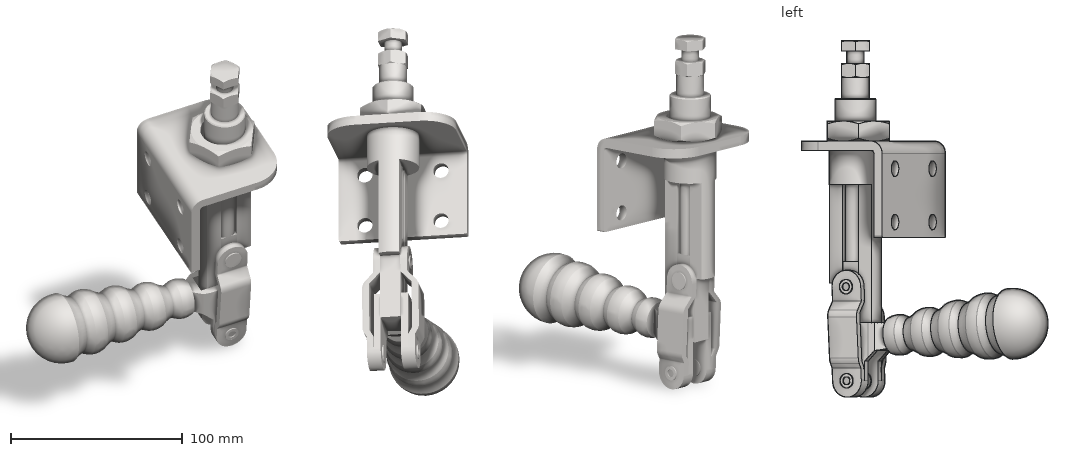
import cadquery as cq
import math

TURN_ANGLE = -29.1

MOUNT_OFFSET = -1.8
PLATE_THICKNESS = 5.5
BRACKET_WIDTH = 75.9
BRACKET_FRONT = MOUNT_OFFSET - 37.1
BRACKET_BACK = MOUNT_OFFSET + 24.6
BRACKET_HEIGHT = 56.2
BEND_RADIUS = 7.3
BACK_CORNER_RADIUS = 19.0
LOWER_CORNER_RADIUS = 1.0
HOLE_DIAMETER = 9.0
HOLE_SPACING_X = 45.0
HOLE_SPACING_Z = 31.1
HOLE_ROW_MIDDLE = -31.6

NUT_FLATS = 36.2
NUT_HEIGHT = 11.7
NUT_CHAMFER_ANGLE = 30.0
HEX_TURN = 30.0
NUT_BORE = 25.2
BARREL_DIAMETER = 24.0
BARREL_TOP = 24.9
BARREL_CHAMFER = 0.6

PLUNGER_DIAMETER = 16.3
PLUNGER_TOP = 37.0
BOLT_FLATS = 16.3
BOLT_NUT_TOP = 45.3
BOLT_HEAD_BOTTOM = 52.4
BOLT_TOP = 58.6
BOLT_DIAMETER = 10.2
INNER_ROD_DIAMETER = 11.8
TONGUE_TOP = -70.0
TONGUE_THICKNESS = 11.4

BODY_DIAMETER = 30.6
BODY_THICKNESS = 12.0
FLATS_TOP = -25.2
BODY_BOTTOM = -121.0
BODY_STEP_TOP = -82.8
BODY_STEP_BACK = 9.0
SLOT_WIDTH = 10.4

STRAP_THICKNESS = 4.1
STRAP_END_RADIUS = 9.6
UPPER_PIN_Y, UPPER_PIN_Z = 0.5, -84.8
LOWER_PIN_Y, LOWER_PIN_Z = -2.2, -139.6
LINK_UPPER_FACE = BODY_THICKNESS / 2 + STRAP_THICKNESS
LINK_MIDDLE_FACE = 16.7
LINK_LOWER_FACE = LINK_UPPER_FACE + STRAP_THICKNESS
JOGGLE_UPPER_START, JOGGLE_UPPER_END = -93.2, -100.0
JOGGLE_LOWER_START, JOGGLE_LOWER_END = -128.0, -132.2
JOGGLE_FILLET = 1.0
MIDDLE_BEND_RADIUS = 6.0

PLAIN_HEAD_DIAMETER = 10.3
RING_HEAD_DIAMETER = 8.4
RING_BORE_DIAMETER = 4.6
HEAD_HEIGHT = 0.8
PIVOT_Y, PIVOT_Z = -4.0, -115.0

FORK_TOP = -105.8
NECK_BOTTOM = -122.0
NOSE_BOTTOM = -120.5
FORK_SHOULDER_Y = -13.9
FORK_BEND_Y = -18.0
FORK_BEND_HALF_WIDTH = 9.4
FORK_NOSE_Y = -26.0
FORK_NOSE_HALF_WIDTH = 3.0

BALL_RADIUS = 20.7
BALL_START = 1.6
BALL_Y, BALL_Z = -104.8, -106.4
GRIP_TILT = 4.9
RIB_COUNT = 4
RIB_PITCH = 19.8
FIRST_RIB_RADIUS = 11.9
RIB_GROWTH = 2.5
RIB_CROWN_AT = 5.0
RIB_CROWN_LENGTH = 8.0
RIB_LENGTH = 12.9
RIB_START_DROP = 1.2
RIB_CROWN_END_DROP = 0.3
RIB_END_DROP = 2.3
VALLEY_SAG = 0.4


def cylinder(diameter, bottom, top, y=0.0):
    """Upright cylinder centred on X = 0."""
    return cq.Workplane("XY", origin=(0, y, bottom)).circle(diameter / 2).extrude(top - bottom)


def cross_cylinder(diameter, start, end, y, z):
    """Cylinder along X."""
    return cq.Workplane("YZ", origin=(start, y, z)).circle(diameter / 2).extrude(end - start)


def hexagon(flats, bottom, top, chamfer_bottom, y=0.0):
    """Hexagon nut or bolt head with conically chamfered corners."""
    height = top - bottom
    corner = flats / math.sqrt(3)
    drop = (corner - flats / 2) * math.tan(math.radians(NUT_CHAMFER_ANGLE))
    prism = (
        cq.Workplane("XY", origin=(0, y, bottom))
        .polygon(6, 2 * corner)
        .extrude(height)
        .rotate((0, y, 0), (0, y, 1), HEX_TURN)
    )
    profile = cq.Workplane("XZ", origin=(0, y, bottom)).moveTo(0, 0)
    if chamfer_bottom:
        profile = profile.lineTo(flats / 2, 0).lineTo(corner, drop)
    else:
        profile = profile.lineTo(corner, 0)
    envelope = (
        profile.lineTo(corner, height - drop)
        .lineTo(flats / 2, height)
        .lineTo(0, height)
        .close()
        .revolve(360, (0, 0, 0), (0, 1, 0))
    )
    return prism.intersect(envelope)


def make_bracket():
    inner_radius = BEND_RADIUS - PLATE_THICKNESS
    bracket = (
        cq.Workplane("YZ", origin=(-BRACKET_WIDTH / 2, 0, 0))
        .moveTo(BRACKET_BACK, 0)
        .lineTo(BRACKET_FRONT + BEND_RADIUS, 0)
        .radiusArc((BRACKET_FRONT, -BEND_RADIUS), -BEND_RADIUS)
        .lineTo(BRACKET_FRONT, -BRACKET_HEIGHT)
        .lineTo(BRACKET_FRONT + PLATE_THICKNESS, -BRACKET_HEIGHT)
        .lineTo(BRACKET_FRONT + PLATE_THICKNESS, -BEND_RADIUS)
        .radiusArc((BRACKET_FRONT + BEND_RADIUS, -PLATE_THICKNESS), inner_radius)
        .lineTo(BRACKET_BACK, -PLATE_THICKNESS)
        .close()
        .extrude(BRACKET_WIDTH)
    )
    bracket = bracket.edges("|Z and >Y").fillet(BACK_CORNER_RADIUS)
    bracket = bracket.edges("|Y and <Z").fillet(LOWER_CORNER_RADIUS)
    holes = (
        cq.Workplane("XZ", origin=(0, BRACKET_FRONT + PLATE_THICKNESS, HOLE_ROW_MIDDLE))
        .rarray(HOLE_SPACING_X, HOLE_SPACING_Z, 2, 2)
        .circle(HOLE_DIAMETER / 2)
        .extrude(PLATE_THICKNESS)
    )
    return bracket.cut(holes)


def make_lock_nut():
    nut = hexagon(NUT_FLATS, 0, NUT_HEIGHT, True, MOUNT_OFFSET)
    return nut.cut(cylinder(NUT_BORE, 0, NUT_HEIGHT, MOUNT_OFFSET))


def make_body():
    body = cylinder(BODY_DIAMETER, BODY_BOTTOM, -PLATE_THICKNESS)
    flats_height = FLATS_TOP - BODY_BOTTOM
    flats_middle = (FLATS_TOP + BODY_BOTTOM) / 2
    for side in (-1, 1):
        flat = cq.Workplane("XY").box(BODY_DIAMETER, BODY_DIAMETER, flats_height)
        flat_centre = side * (BODY_THICKNESS + BODY_DIAMETER) / 2
        body = body.cut(flat.translate((flat_centre, 0, flats_middle)))
    slot = cq.Workplane("XY").box(BODY_DIAMETER, SLOT_WIDTH, flats_height)
    body = body.cut(slot.translate((0, 0, flats_middle)))
    step = (
        cq.Workplane("XY", origin=(0, BODY_STEP_BACK + BODY_DIAMETER / 2, BODY_BOTTOM))
        .rect(BODY_DIAMETER, BODY_DIAMETER)
        .extrude(BODY_STEP_TOP - BODY_BOTTOM)
    )
    barrel = cylinder(BARREL_DIAMETER, -PLATE_THICKNESS, BARREL_TOP).faces(">Z").chamfer(BARREL_CHAMFER)
    return body.cut(step).union(barrel)


def make_plunger():
    tongue = (
        cq.Workplane("XY", origin=(0, 0, BODY_BOTTOM))
        .rect(TONGUE_THICKNESS, SLOT_WIDTH)
        .extrude(TONGUE_TOP - BODY_BOTTOM)
    )
    return (
        cylinder(PLUNGER_DIAMETER, BARREL_TOP, PLUNGER_TOP)
        .union(cylinder(INNER_ROD_DIAMETER, TONGUE_TOP, FLATS_TOP))
        .union(tongue)
        .union(hexagon(BOLT_FLATS, PLUNGER_TOP, BOLT_NUT_TOP, True))
        .union(cylinder(BOLT_DIAMETER, BOLT_NUT_TOP, BOLT_HEAD_BOTTOM))
        .union(hexagon(BOLT_FLATS, BOLT_HEAD_BOTTOM, BOLT_TOP, False))
    )


def make_link():
    """Link on the +X side: a joggled strip trimmed to a strap with round ends."""
    top = UPPER_PIN_Z + 2 * STRAP_END_RADIUS
    bottom = LOWER_PIN_Z - 2 * STRAP_END_RADIUS
    outer = [
        (LINK_UPPER_FACE, top),
        (LINK_UPPER_FACE, JOGGLE_UPPER_START),
        (LINK_MIDDLE_FACE, JOGGLE_UPPER_END),
        (LINK_MIDDLE_FACE, JOGGLE_LOWER_START),
        (LINK_LOWER_FACE, JOGGLE_LOWER_END),
        (LINK_LOWER_FACE, bottom),
    ]
    inner = [(x - STRAP_THICKNESS, z) for x, z in reversed(outer)]
    strip = (
        cq.Workplane("XZ")
        .polyline(outer + inner)
        .close()
        .extrude(2 * STRAP_END_RADIUS, both=True)
    )
    strip = strip.edges("|Y and (not >X)").fillet(JOGGLE_FILLET)
    strip = strip.edges("|Y and >X").fillet(MIDDLE_BEND_RADIUS)
    rise = UPPER_PIN_Z - LOWER_PIN_Z
    run = UPPER_PIN_Y - LOWER_PIN_Y
    strap = (
        cq.Workplane("YZ", origin=(0, (UPPER_PIN_Y + LOWER_PIN_Y) / 2, (UPPER_PIN_Z + LOWER_PIN_Z) / 2))
        .slot2D(math.hypot(rise, run) + 2 * STRAP_END_RADIUS, 2 * STRAP_END_RADIUS,
                math.degrees(math.atan2(rise, run)))
        .extrude(LINK_MIDDLE_FACE + STRAP_THICKNESS)
    )
    return strip.intersect(strap)


def make_fork():
    """Two side plates joined in front of the body, where the grip is mounted."""
    outer_half = LINK_UPPER_FACE
    inner_half = BODY_THICKNESS / 2
    fork_back = LOWER_PIN_Y + STRAP_END_RADIUS
    fork_front = LOWER_PIN_Y - STRAP_END_RADIUS
    outline = (
        cq.Workplane("YZ", origin=(-outer_half, 0, 0))
        .moveTo(FORK_NOSE_Y, FORK_TOP)
        .lineTo(fork_back, FORK_TOP)
        .lineTo(fork_back, LOWER_PIN_Z)
        .threePointArc((LOWER_PIN_Y, LOWER_PIN_Z - STRAP_END_RADIUS), (fork_front, LOWER_PIN_Z))
        .lineTo(fork_front, NECK_BOTTOM + FORK_BEND_Y - fork_front)
        .lineTo(FORK_BEND_Y, NECK_BOTTOM)
        .lineTo(FORK_NOSE_Y, NOSE_BOTTOM)
        .close()
        .extrude(2 * outer_half)
    )
    plan = (
        cq.Workplane("XY", origin=(0, 0, LOWER_PIN_Z - STRAP_END_RADIUS))
        .polyline([
            (-outer_half, fork_back),
            (-outer_half, FORK_SHOULDER_Y),
            (-FORK_BEND_HALF_WIDTH, FORK_BEND_Y),
            (-FORK_NOSE_HALF_WIDTH, FORK_NOSE_Y),
            (FORK_NOSE_HALF_WIDTH, FORK_NOSE_Y),
            (FORK_BEND_HALF_WIDTH, FORK_BEND_Y),
            (outer_half, FORK_SHOULDER_Y),
            (outer_half, fork_back),
            (inner_half, fork_back),
            (inner_half, FORK_BEND_Y),
            (-inner_half, FORK_BEND_Y),
            (-inner_half, fork_back),
        ])
        .close()
        .extrude(FORK_TOP - LOWER_PIN_Z + STRAP_END_RADIUS)
    )
    return outline.intersect(plan)


def make_grip():
    """Revolved about local Y with the ball centre at the origin, then tilted into place."""
    grip_start = BALL_START + RIB_COUNT * RIB_PITCH
    profile = (
        cq.Workplane("XY")
        .moveTo(0, grip_start)
        .lineTo(FIRST_RIB_RADIUS - RIB_START_DROP, grip_start)
    )
    for index in range(RIB_COUNT):
        start = grip_start - index * RIB_PITCH
        peak = FIRST_RIB_RADIUS + index * RIB_GROWTH
        end_radius = peak - RIB_END_DROP
        next_start_radius = peak + RIB_GROWTH - RIB_START_DROP
        if index == RIB_COUNT - 1:
            next_start_radius = math.sqrt(BALL_RADIUS ** 2 - BALL_START ** 2)
        valley_y = start - (RIB_LENGTH + RIB_PITCH) / 2
        valley_radius = (end_radius + next_start_radius) / 2 - VALLEY_SAG
        crown_end = (peak - RIB_CROWN_END_DROP, start - RIB_CROWN_LENGTH)
        profile = (
            profile.threePointArc((peak, start - RIB_CROWN_AT), crown_end)
            .lineTo(end_radius, start - RIB_LENGTH)
            .threePointArc((valley_radius, valley_y), (next_start_radius, start - RIB_PITCH))
        )
    grip = (
        profile.threePointArc((BALL_RADIUS, 0), (0, -BALL_RADIUS))
        .close()
        .revolve(360, (0, 0, 0), (0, 1, 0))
    )
    return grip.rotate((0, 0, 0), (1, 0, 0), -GRIP_TILT).translate((0, BALL_Y, BALL_Z))


def ring_head(face, side, y, z):
    """Bored rivet head standing on the outer face of the link on one side."""
    head = cross_cylinder(RING_HEAD_DIAMETER, face, face + HEAD_HEIGHT, y, z)
    head = head.cut(cross_cylinder(RING_BORE_DIAMETER, face, face + HEAD_HEIGHT, y, z))
    return head if side > 0 else head.mirror("YZ")


def add_rivets(assembly):
    upper = (UPPER_PIN_Y, UPPER_PIN_Z)
    lower = (LOWER_PIN_Y, LOWER_PIN_Z)
    inner_face = BODY_THICKNESS / 2
    assembly = assembly.union(
        cross_cylinder(PLAIN_HEAD_DIAMETER, 0, LINK_UPPER_FACE + HEAD_HEIGHT, *upper)
    )
    assembly = assembly.union(ring_head(LINK_UPPER_FACE, -1, *upper))
    for side in (-1, 1):
        inner_head = cross_cylinder(PLAIN_HEAD_DIAMETER, inner_face - HEAD_HEIGHT, LINK_UPPER_FACE, *lower)
        if side < 0:
            inner_head = inner_head.mirror("YZ")
        assembly = assembly.union(inner_head).union(ring_head(LINK_LOWER_FACE, side, *lower))
    pivot = cross_cylinder(PLAIN_HEAD_DIAMETER, -LINK_UPPER_FACE, LINK_UPPER_FACE, PIVOT_Y, PIVOT_Z)
    return assembly.union(pivot)


link = make_link()
clamp = (
    make_bracket()
    .union(make_body())
    .union(make_lock_nut())
    .union(make_plunger())
    .union(link)
    .union(link.mirror("YZ"))
    .union(make_fork())
    .union(make_grip())
)
result = add_rivets(clamp).rotate((0, 0, 0), (0, 0, 1), TURN_ANGLE)